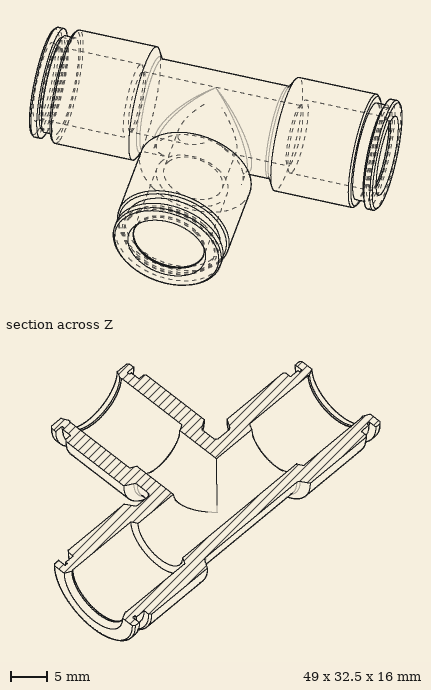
import cadquery as cq

run_length = 49.0
port_reach = run_length / 2

pipe_radius = 13.05 / 2
collar_radius = 16.0 / 2
neck_radius = 13.65 / 2
groove_radius = 13.0 / 2
flange_radius = 15.5 / 2

flange_width = 1.15
groove_width = 0.4
neck_length = 1.45
collar_length = 11.35
shoulder_length = 0.9
edge_chamfer = 0.3
root_fillet = 0.5
branch_fillet = 0.5

mouth_radius = 11.15 / 2
lip_radius = 10.15 / 2
socket_radius = 10.3 / 2
bore_radius = 8.5 / 2
mouth_depth = 1.0
lip_length = 0.25
socket_depth = 12.75
seat_length = 0.5

flange_inner = port_reach - flange_width
neck_outer = flange_inner - groove_width
collar_outer = neck_outer - neck_length
collar_inner = collar_outer - collar_length
shoulder_root = collar_inner - shoulder_length
lip_inner = port_reach - mouth_depth - lip_length
socket_floor = port_reach - socket_depth


def revolve_profile(points):
    """Revolve (radius, axial station) points about Z."""
    return cq.Workplane("XZ").polyline(points).close().revolve(360, (0, 0), (0, 1))


def port_body():
    """Outside of one port: pipe, collar, neck, groove and end flange."""
    body = revolve_profile([
        (0, 0),
        (pipe_radius, 0),
        (pipe_radius, shoulder_root),
        (collar_radius, collar_inner),
        (collar_radius, collar_outer - edge_chamfer),
        (collar_radius - edge_chamfer, collar_outer),
        (neck_radius, collar_outer),
        (neck_radius, neck_outer),
        (groove_radius, neck_outer),
        (groove_radius, flange_inner),
        (flange_radius, flange_inner),
        (flange_radius, port_reach - edge_chamfer),
        (flange_radius - edge_chamfer, port_reach),
        (0, port_reach),
    ])
    root_margin = shoulder_length / 2
    root_edge = cq.selectors.BoxSelector(
        (-collar_radius, -collar_radius, shoulder_root - root_margin),
        (collar_radius, collar_radius, shoulder_root + root_margin),
    )
    return body.edges("%CIRCLE").edges(root_edge).fillet(root_fillet)


def port_passage():
    """Material removed from the inside of one port."""
    return revolve_profile([
        (0, 0),
        (bore_radius, 0),
        (bore_radius, socket_floor - seat_length),
        (socket_radius, socket_floor),
        (socket_radius, lip_inner),
        (lip_radius, lip_inner),
        (lip_radius, port_reach - mouth_depth),
        (mouth_radius, port_reach),
        (0, port_reach),
    ])


def along_x(port, direction=1):
    """Turn a +Z port toward +X, or toward -X for direction -1."""
    return port.rotate((0, 0, 0), (0, 1, 0), 90 * direction)


def along_branch(port):
    """Turn a +Z port toward -Y."""
    return port.rotate((0, 0, 0), (1, 0, 0), 90)


def on_three_ports(port):
    """Join copies of a +Z port turned toward +X, -X and -Y."""
    return along_x(port).union(along_x(port, -1)).union(along_branch(port))


def joint_web(port):
    """Fillet material between the +X pipe and the branch."""
    half_size = (run_length, 2 * run_length, run_length)
    half_space = cq.Workplane("XY").box(*half_size, centered=(False, True, True))
    half = along_x(port).union(along_branch(port)).intersect(half_space)
    return half.edges("%ELLIPSE").fillet(branch_fillet).cut(half)


port = port_body()
web = joint_web(port)
body = on_three_ports(port).union(web).union(web.mirror("YZ"))
result = body.cut(on_three_ports(port_passage()))